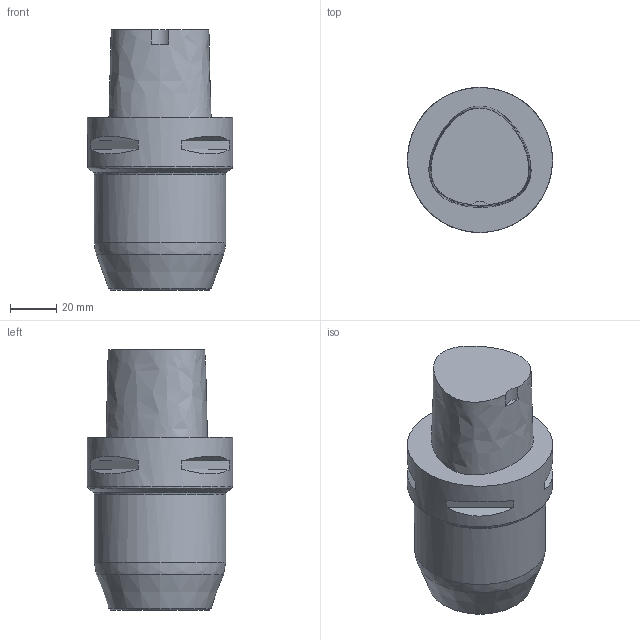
import cadquery as cq
import math

shank_length = 38.0
body_length = 75.0
flange_length = 22.0

flange_radius = 63.0 / 2
body_radius = 57.0 / 2
shoulder_angle = 55.0
shoulder_fillet_radius = 1.0

nose_angle = 20.0
nose_blend_radius = 15.0
nose_blend_start = 54.4
end_chamfer = 0.7

shank_mean_diameter = 44.0
shank_lobe_height = 1.4
shank_taper = 1.0 / 20
shank_curve_points = 24

relief_radius = 5.2
relief_depth = 6.2
relief_bottom_y = -18.0

groove_count = 4
groove_first_angle = 45.0
groove_center_z = -12.0
groove_floor_distance = 27.9
groove_floor_width = 3.6
groove_flank_angle = 30.0


def make_body():
    """Flange, cylindrical body and tapered nose as one revolved profile."""
    shoulder_drop = (flange_radius - body_radius) / math.tan(math.radians(shoulder_angle))
    shoulder_end_z = -flange_length - shoulder_drop

    nose = math.radians(nose_angle)
    half_nose = nose / 2
    arc_center_r = body_radius - nose_blend_radius
    blend_mid = (
        arc_center_r + nose_blend_radius * math.cos(half_nose),
        -nose_blend_start - nose_blend_radius * math.sin(half_nose),
    )
    blend_end = (
        arc_center_r + nose_blend_radius * math.cos(nose),
        -nose_blend_start - nose_blend_radius * math.sin(nose),
    )
    cone_end_z = -body_length + end_chamfer
    cone_end_r = blend_end[0] - (blend_end[1] - cone_end_z) * math.tan(nose)

    profile = (
        cq.Workplane("XZ")
        .moveTo(0, 0)
        .lineTo(flange_radius, 0)
        .lineTo(flange_radius, -flange_length)
        .lineTo(body_radius, shoulder_end_z)
        .lineTo(body_radius, -nose_blend_start)
        .threePointArc(blend_mid, blend_end)
        .lineTo(cone_end_r, cone_end_z)
        .lineTo(cone_end_r - end_chamfer, -body_length)
        .lineTo(0, -body_length)
        .close()
    )
    body = profile.revolve(360, (0, 0, 0), (0, 1, 0))
    shoulder = cq.selectors.BoxSelector(
        (-flange_radius, -flange_radius, shoulder_end_z - shoulder_drop / 2),
        (flange_radius, flange_radius, -flange_length + shoulder_drop / 2),
    )
    return body.edges("%CIRCLE").edges(shoulder).fillet(shoulder_fillet_radius)


def shank_outline(z):
    """Closed three-lobed curve with one lobe toward +Y, smaller at greater height."""
    mean_radius = (shank_mean_diameter - shank_taper * z) / 2
    points = []
    for i in range(shank_curve_points):
        angle = 2 * math.pi * i / shank_curve_points
        x = mean_radius * math.sin(angle) - shank_lobe_height * math.sin(2 * angle)
        y = mean_radius * math.cos(angle) + shank_lobe_height * math.cos(2 * angle)
        points.append(cq.Vector(x, y, z))
    return cq.Wire.assembleEdges([cq.Edge.makeSpline(points, periodic=True)])


def make_shank():
    """Tapered shank standing on the flange face."""
    outlines = [shank_outline(0), shank_outline(shank_length)]
    return cq.Workplane(obj=cq.Solid.makeLoft(outlines, True))


def make_shank_relief():
    """Upright cylinder that cuts the relief in the shank's -Y side."""
    return (
        cq.Workplane("XY", origin=(0, relief_bottom_y - relief_radius, shank_length - relief_depth))
        .circle(relief_radius)
        .extrude(relief_depth)
    )


def make_groove():
    """Straight groove with sloped flanks across the +X side of the flange."""
    depth = flange_radius - groove_floor_distance
    floor_half = groove_floor_width / 2
    mouth_half = floor_half + depth * math.tan(math.radians(groove_flank_angle))
    return (
        cq.Workplane("XZ", origin=(0, 0, groove_center_z))
        .moveTo(groove_floor_distance, -floor_half)
        .lineTo(flange_radius, -mouth_half)
        .lineTo(flange_radius, mouth_half)
        .lineTo(groove_floor_distance, floor_half)
        .close()
        .extrude(flange_radius, both=True)
    )


result = make_body().union(make_shank()).cut(make_shank_relief())
for index in range(groove_count):
    groove_angle = groove_first_angle + index * 360.0 / groove_count
    result = result.cut(make_groove().rotate((0, 0, 0), (0, 0, 1), groove_angle))